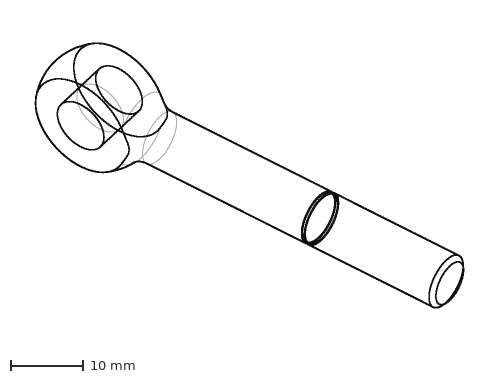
import cadquery as cq
import math

total_length = 69.0
eye_radius = 9.0
eye_width = 9.0
bore_diameter = 8.0
shank_radius = 4.0
neck_fillet = 4.0
thread_length = 22.0
groove_width = 0.5
groove_depth = 0.2
tip_chamfer_length = 0.6
tip_chamfer_depth = 0.75

neck_center_z = shank_radius + neck_fillet
neck_end_x = math.sqrt((eye_radius + neck_fillet) ** 2 - neck_center_z ** 2)
neck_angle = math.atan2(neck_center_z, neck_end_x)
neck_start = (eye_radius * math.cos(neck_angle), eye_radius * math.sin(neck_angle))
neck_mid_angle = (-math.pi / 2 + neck_angle - math.pi) / 2
neck_mid = (
    neck_end_x + neck_fillet * math.cos(neck_mid_angle),
    neck_center_z + neck_fillet * math.sin(neck_mid_angle),
)

tip_x = total_length - eye_radius
groove_end_x = tip_x - thread_length
groove_start_x = groove_end_x - groove_width
groove_radius = shank_radius - groove_depth


def turned_body():
    """Ball, neck, grooved shank and chamfered tip revolved about the X axis."""
    profile = (
        cq.Workplane("XZ")
        .moveTo(-eye_radius, 0)
        .threePointArc((0, eye_radius), neck_start)
        .threePointArc(neck_mid, (neck_end_x, shank_radius))
        .lineTo(groove_start_x, shank_radius)
        .lineTo(groove_start_x, groove_radius)
        .lineTo(groove_end_x, groove_radius)
        .lineTo(groove_end_x, shank_radius)
        .lineTo(tip_x - tip_chamfer_length, shank_radius)
        .lineTo(tip_x, shank_radius - tip_chamfer_depth)
        .lineTo(tip_x, 0)
        .close()
    )
    return profile.revolve(360, (0, 0, 0), (1, 0, 0))


def flat_sides():
    """Slab that trims the ball to the eye width."""
    slab_size = 2 * total_length
    return cq.Workplane("XY").box(slab_size, eye_width, slab_size)


def eye_bore():
    """Through hole across the eye."""
    return cq.Workplane("XZ").circle(bore_diameter / 2).extrude(eye_width, both=True)


result = turned_body().intersect(flat_sides()).cut(eye_bore())